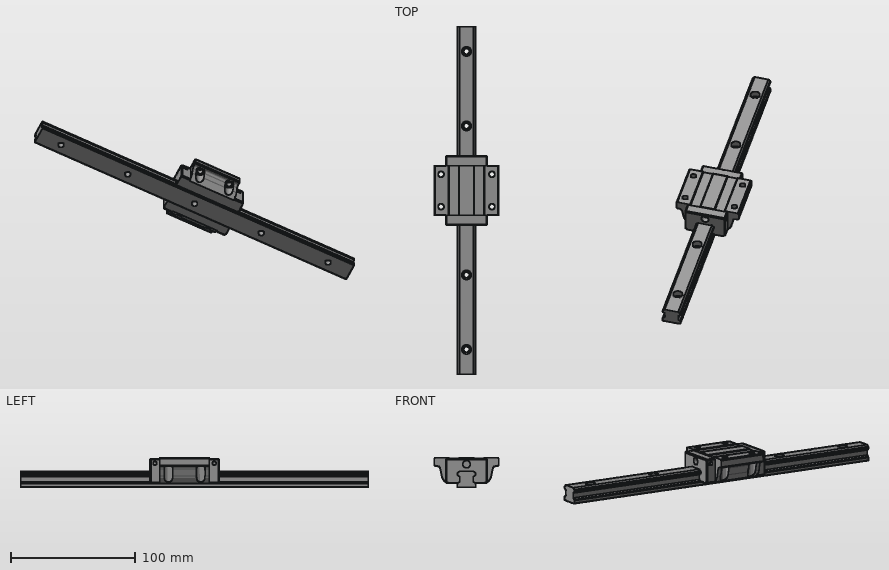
import cadquery as cq
import math

rail_length = 280.0
rail_width = 15.0
rail_height = 13.0
rail_foot_height = 3.2
rail_waist_width = 11.0
rail_waist_bottom = 4.5
rail_waist_top = 8.5
rail_lip_bottom = 10.0
rail_lip_top = 11.4
rail_top_width = 11.2
rail_edge_chamfer = 0.5
rail_hole_pitch = 60.0
rail_hole_count = 5
rail_hole_diameter = 4.5
rail_counterbore_diameter = 7.5
rail_counterbore_depth = 5.3

carriage_y = 8.0
carriage_top = 24.0
carriage_bottom = 3.3
block_length = 39.8
flange_width = 52.0
flange_thickness = 7.0
flange_chamfer = 0.9
neck_fillet = 2.4
neck_tilt = math.radians(12.0)
neck_top_width = 42.4
side_round_top = 9.2
block_bottom_width = 30.6
center_pad_width = 11.4
side_pad_inner_width = 29.2
top_recess_depth = 0.6

mount_spacing_x = 41.0
mount_spacing_y = 26.0
mount_hole_diameter = 4.5
mount_relief_diameter = 7.0

carriage_length = 55.8
cap_width = 33.6
cap_top = 23.2
cap_chamfer = 0.9
front_port_diameter = 6.0
front_port_height = 18.6
front_port_depth = 5.0
side_port_diameter = 3.0
side_port_height = 19.4
side_port_depth = 3.0

flange_bottom = carriage_top - flange_thickness
cap_length = (carriage_length - block_length) / 2
cap_middle_offset = (block_length + cap_length) / 2


def extrude_along_y(outline, length, middle_y):
    """Extrude an XZ outline so that it is centred on middle_y."""
    return outline.extrude(length / 2, both=True).translate((0, middle_y, 0))


def mirrored_outline(right_side):
    """Close a list of right-hand XZ points with its mirror image across X = 0."""
    left_side = [(-x, z) for x, z in reversed(right_side)]
    return cq.Workplane("XZ").polyline(right_side + left_side).close()


def rail_bar(length, middle_y):
    """Plain bar with the rail's waisted section and chamfered outermost edges."""
    right_side = [
        (rail_width / 2, 0),
        (rail_width / 2, rail_foot_height),
        (rail_waist_width / 2, rail_waist_bottom),
        (rail_waist_width / 2, rail_waist_top),
        (rail_width / 2, rail_lip_bottom),
        (rail_width / 2, rail_lip_top),
        (rail_top_width / 2, rail_height),
    ]
    bar = extrude_along_y(mirrored_outline(right_side), length, middle_y)
    side_faces = bar.faces("<X or >X")
    return side_faces.edges("|Y").chamfer(rail_edge_chamfer)


def build_rail():
    """Rail with a row of counterbored screw holes."""
    return (
        rail_bar(rail_length, 0)
        .faces(">Z")
        .workplane(centerOption="CenterOfBoundBox")
        .rarray(1, rail_hole_pitch, 1, rail_hole_count)
        .cboreHole(rail_hole_diameter, rail_counterbore_diameter, rail_counterbore_depth)
    )


def flanged_block():
    """Steel block: two flanges over tilted sides that round into the bottom."""
    flange_x = flange_width / 2
    bottom_x = block_bottom_width / 2

    fillet_center_x = neck_top_width / 2 + neck_fillet
    fillet_center_z = flange_bottom - neck_fillet
    fillet_end = (
        fillet_center_x - neck_fillet * math.cos(neck_tilt),
        fillet_center_z + neck_fillet * math.sin(neck_tilt),
    )
    round_start = (
        fillet_end[0] - (fillet_end[1] - side_round_top) * math.tan(neck_tilt),
        side_round_top,
    )

    half = (
        cq.Workplane("XZ")
        .moveTo(0, carriage_top)
        .lineTo(flange_x - flange_chamfer, carriage_top)
        .lineTo(flange_x, carriage_top - flange_chamfer)
        .lineTo(flange_x, flange_bottom + flange_chamfer)
        .lineTo(flange_x - flange_chamfer, flange_bottom)
        .lineTo(fillet_center_x, flange_bottom)
        .tangentArcPoint(fillet_end, relative=False)
        .lineTo(*round_start)
        .tangentArcPoint((bottom_x, carriage_bottom), relative=False)
        .lineTo(0, carriage_bottom)
        .close()
    )
    right_half = extrude_along_y(half, block_length, carriage_y)
    return right_half.union(right_half.mirror("YZ"))


def top_recesses():
    """Two shallow channels with sloped walls that leave three raised pads."""
    inner_x = center_pad_width / 2
    outer_x = side_pad_inner_width / 2
    floor_z = carriage_top - top_recess_depth
    channels = cq.Workplane("XZ")
    for side in (-1, 1):
        outline = cq.Workplane("XZ").polyline([
            (side * inner_x, carriage_top),
            (side * (inner_x + top_recess_depth), floor_z),
            (side * (outer_x - top_recess_depth), floor_z),
            (side * outer_x, carriage_top),
        ]).close()
        channels = channels.add(extrude_along_y(outline, block_length, carriage_y))
    return channels


def mount_cylinders(diameter, bottom, top):
    """Four vertical cylinders on the mounting hole pattern."""
    return (
        cq.Workplane("XY", origin=(0, carriage_y, bottom))
        .rarray(mount_spacing_x, mount_spacing_y, 2, 2)
        .circle(diameter / 2)
        .extrude(top - bottom)
    )


def end_cap(end):
    """End cap at the -Y (end = -1) or +Y (end = 1) side, with its grease ports."""
    middle_y = carriage_y + end * cap_middle_offset
    outer_y = carriage_y + end * carriage_length / 2
    outer_face = "<Y" if end < 0 else ">Y"
    height = cap_top - carriage_bottom

    cap = (
        cq.Workplane("XY", origin=(0, middle_y, carriage_bottom))
        .box(cap_width, cap_length, height, centered=(True, True, False))
        .edges("|Y")
        .chamfer(cap_chamfer)
    )
    cap = cap.faces(outer_face).edges("not <Z").chamfer(cap_chamfer)

    front_port = (
        cq.Workplane("XZ", origin=(0, outer_y, front_port_height))
        .circle(front_port_diameter / 2)
        .extrude(end * front_port_depth)
    )
    cap = cap.cut(front_port)
    for side in (-1, 1):
        side_port = (
            cq.Workplane("YZ", origin=(side * cap_width / 2, middle_y, side_port_height))
            .circle(side_port_diameter / 2)
            .extrude(-side * side_port_depth)
        )
        cap = cap.cut(side_port)
    return cap


def build_carriage():
    """Carriage in one piece: block, two end caps and the rail-shaped channel."""
    carriage = flanged_block().cut(top_recesses())
    carriage = carriage.cut(mount_cylinders(mount_hole_diameter, flange_bottom, carriage_top))
    carriage = carriage.cut(mount_cylinders(mount_relief_diameter, carriage_bottom, flange_bottom))
    for end in (-1, 1):
        carriage = carriage.union(end_cap(end))
    return carriage.cut(rail_bar(carriage_length, carriage_y))


rail = build_rail()
carriage = build_carriage()

result = cq.Compound.makeCompound([rail.val(), carriage.val()])